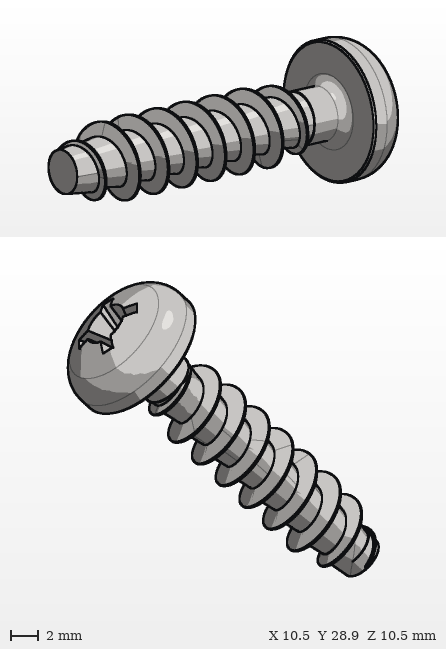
import cadquery as cq
import math


head_radius = 10.5 / 2
rim_bevel = 0.15
dome_radius = 8.2
shoulder_radius = 2.17
shoulder_start = 1.15

rim_height = 4.0
recess_depth = 2.6
recess_floor_radius = 0.72
arm_width = 0.93
arm_reach = 2.9
arm_floor_reach = 1.3
recess_overshoot = 0.3

overall_length = 28.92
shank_radius = 2.02
shank_length = 2.95
neck_fillet = 0.78
core_radius = 1.62
lead_cone_radius = 1.97
lead_cone_length = 2.3
tip_radius = 3.27 / 2
tip_cone_slope = 0.12
tip_collar_length = 1.3
tip_point_height = 0.1

crest_span = 13.35
crest_span_turns = 5
pitch = crest_span / crest_span_turns
first_full_crest = -6.8
crest_radius = 6.05 / 2
crest_width = 0.15
flank_slope = 0.29
root_radius = 1.53
run_in_start = -2.0
run_in_end = -0.25
run_in_radius = 2.02
run_out_start = crest_span_turns + 0.25
run_out_end = 6.7
run_out_radius = 1.68

step_end = 7.2
step_length = 2.3
step_high_radius = 2.02
step_low_radius = 1.65

points_per_piece = 12

tip_y = rim_height - overall_length
tip_rim_y = tip_y + tip_point_height
tip_collar_radius = tip_radius + tip_cone_slope * tip_collar_length
tip_cone_length = (shank_radius - tip_radius) / tip_cone_slope

shoulder_center = head_radius - shoulder_radius
crown_angle = math.asin(shoulder_center / (dome_radius - shoulder_radius))
crown_center = shoulder_start - (dome_radius - shoulder_radius) * math.cos(crown_angle)


def revolved(outline):
    """Turn an outline, closed along the axis, around the Y axis."""
    return outline.close().revolve(360, (0, 0, 0), (0, 1, 0))


def crown_radius_at(height):
    """Distance from the axis to the crown at a height above the bearing face."""
    return math.sqrt(dome_radius**2 - (height - crown_center) ** 2)


def on_crown(angle):
    """Point of the crown arc at an angle from the axis."""
    return dome_radius * math.sin(angle), crown_center + dome_radius * math.cos(angle)


def head():
    """Domed head with a bevelled rim, closed by the shoulder and crown arcs."""
    shoulder_angle = (crown_angle + math.pi / 2) / 2
    shoulder_mid = (
        shoulder_center + shoulder_radius * math.sin(shoulder_angle),
        shoulder_start + shoulder_radius * math.cos(shoulder_angle),
    )
    return revolved(
        cq.Workplane("XY")
        .lineTo(head_radius - rim_bevel, 0)
        .lineTo(head_radius, rim_bevel)
        .lineTo(head_radius, shoulder_start)
        .threePointArc(shoulder_mid, on_crown(crown_angle))
        .threePointArc(on_crown(crown_angle / 2), on_crown(0))
    )


def cross_recess():
    """Conical socket with four tapered arms, open at the top of the dome."""
    floor_y = rim_height - recess_depth
    top_y = rim_height + recess_overshoot
    rim_radius = crown_radius_at(rim_height)

    def reach_at_top(floor_reach, rim_reach):
        slope = (rim_reach - floor_reach) / recess_depth
        return rim_reach + slope * recess_overshoot

    socket_top = reach_at_top(recess_floor_radius, rim_radius)
    socket = revolved(
        cq.Workplane("XY")
        .moveTo(0, floor_y)
        .lineTo(recess_floor_radius, floor_y)
        .lineTo(socket_top, top_y)
        .lineTo(0, top_y)
    )
    arm_top = reach_at_top(arm_floor_reach, arm_reach)
    arm_pair = (
        cq.Workplane("XY")
        .moveTo(-arm_floor_reach, floor_y)
        .lineTo(arm_floor_reach, floor_y)
        .lineTo(arm_top, top_y)
        .lineTo(-arm_top, top_y)
        .close()
        .extrude(arm_width / 2, both=True)
    )
    return socket.union(arm_pair).union(arm_pair.rotate((0, 0, 0), (0, 1, 0), 90))


def shank():
    """Plain shank with a concave fillet under the head."""
    middle = neck_fillet * (1 - math.sqrt(0.5))
    return revolved(
        cq.Workplane("XY")
        .lineTo(shank_radius + neck_fillet, 0)
        .threePointArc((shank_radius + middle, -middle), (shank_radius, -neck_fillet))
        .lineTo(shank_radius, -shank_length)
        .lineTo(0, -shank_length)
    )


def core():
    """Cylindrical core with a lead cone below the shank and a cone at the tip."""
    return revolved(
        cq.Workplane("XY")
        .moveTo(0, -shank_length)
        .lineTo(lead_cone_radius, -shank_length)
        .lineTo(core_radius, -shank_length - lead_cone_length)
        .lineTo(core_radius, tip_rim_y + tip_collar_length)
        .lineTo(tip_collar_radius, tip_rim_y + tip_collar_length)
        .lineTo(tip_radius, tip_rim_y)
        .lineTo(0, tip_y)
    )


def helix_point(turn, offset, radius):
    """Point on the right-hand helix, moved by an offset towards the tip."""
    angle = 2 * math.pi * turn
    y = first_full_crest - pitch * turn - offset
    return cq.Vector(radius * math.cos(angle), y, radius * math.sin(angle))


def helical_bar(section, breaks):
    """Solid whose cross-section follows the helix.

    section(turn) lists corners as (offset towards the tip, distance from the axis).
    breaks are the turns at which the section starts, changes its growth and ends.
    """

    def corners_at(turn):
        return [helix_point(turn, offset, radius) for offset, radius in section(turn)]

    faces = []
    for start, end in zip(breaks, breaks[1:]):
        pieces = math.ceil(end - start)
        for piece in range(pieces):
            first = start + (end - start) * piece / pieces
            step = (end - start) / pieces / points_per_piece
            sections = [corners_at(first + step * i) for i in range(points_per_piece + 1)]
            rails = [cq.Edge.makeSpline(list(path)) for path in zip(*sections)]
            faces += [cq.Face.makeRuledSurface(a, b) for a, b in zip(rails, rails[1:] + rails[:1])]
    for turn in (breaks[0], breaks[-1]):
        faces.append(cq.Face.makeFromWires(cq.Wire.makePolygon(corners_at(turn), close=True)))
    return cq.Workplane(cq.Solid.makeSolid(cq.Shell.makeShell(faces)).fix())


def crest_radius_at(turn):
    """Crest radius, growing over the run-in and fading over the run-out."""
    rise = (turn - run_in_start) / (run_in_end - run_in_start)
    fall = (run_out_end - turn) / (run_out_end - run_out_start)
    return min(
        crest_radius,
        run_in_radius + (crest_radius - run_in_radius) * rise,
        run_out_radius + (crest_radius - run_out_radius) * fall,
    )


def thread_section(turn):
    """Trapezoid with flanks of constant slope and a narrow crest."""
    crest = crest_radius_at(turn)
    half_crest = crest_width / 2
    half_root = half_crest + flank_slope * (crest - root_radius)
    return [
        (-half_root, root_radius),
        (-half_crest, crest),
        (half_crest, crest),
        (half_root, root_radius),
    ]


def core_step_section(turn):
    """Core surface behind the thread, falling towards the next turn."""
    return [
        (0, root_radius),
        (0, step_high_radius),
        (step_length, step_low_radius),
        (step_length, root_radius),
    ]


def threaded_zone():
    """Region between the shank and the tip that the thread may fill."""
    return revolved(
        cq.Workplane("XY")
        .moveTo(0, -shank_length)
        .lineTo(head_radius, -shank_length)
        .lineTo(head_radius, tip_rim_y)
        .lineTo(0, tip_rim_y)
    )


def core_envelope():
    """Outer limit of the core step: the shank diameter, tapered at the tip."""
    return revolved(
        cq.Workplane("XY")
        .moveTo(0, -shank_length)
        .lineTo(shank_radius, -shank_length)
        .lineTo(shank_radius, tip_rim_y + tip_cone_length)
        .lineTo(tip_radius, tip_rim_y)
        .lineTo(0, tip_rim_y)
    )


thread_breaks = [run_in_start, run_in_end, run_out_start, run_out_end]
step_breaks = [run_in_start, step_end]
thread = helical_bar(thread_section, thread_breaks).intersect(threaded_zone())
core_step = helical_bar(core_step_section, step_breaks).intersect(core_envelope())
screw_body = head().cut(cross_recess()).union(shank()).union(core())
result = screw_body.union(core_step).union(thread, clean=False)